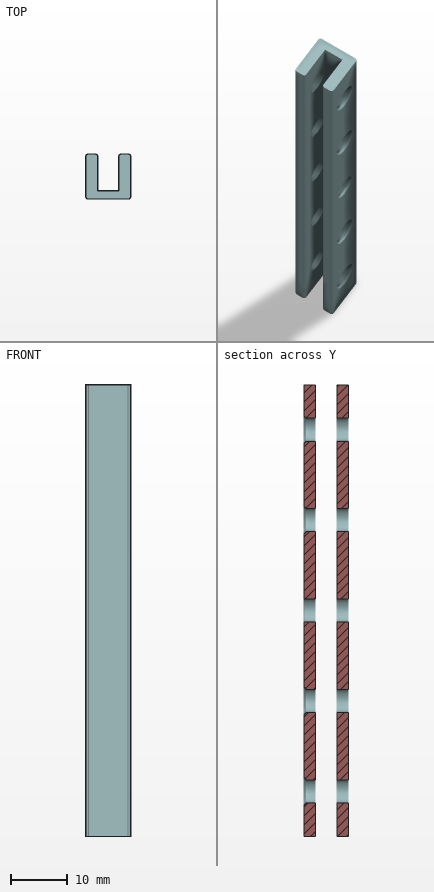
import cadquery as cq

length = 80.0
width = 8.0
slot_width = 3.7
floor_thickness = 1.5
edge_radius = 0.5

hole_count = 5
hole_pitch = length / hole_count
hole_diameter = 4.0
countersink_depth = 0.5
middle_countersink_depth = 0.2
hole_radius = hole_diameter / 2
half_width = width / 2


def make_channel():
    """Square bar with a slot; all long outer edges and slot lips are rounded."""
    bar = cq.Workplane("XY").box(width, width, length)
    slot_depth = width - floor_thickness
    slot = (
        cq.Workplane("XY")
        .box(slot_width, slot_depth, length)
        .translate((0, half_width - slot_depth / 2, 0))
    )
    channel = bar.cut(slot)
    outer_edges = channel.edges("|Z and (>Y or <Y)")
    return outer_edges.fillet(edge_radius)


def make_hole(z, sink_depth):
    """Cutter along +X, starting at the -X face, with a countersink."""
    direction = cq.Vector(1, 0, 0)
    start = cq.Vector(-half_width, 0, z)
    cutter = cq.Solid.makeCylinder(hole_radius, width, start, direction)
    mouth_radius = hole_radius + sink_depth
    cone = cq.Solid.makeCone(mouth_radius, hole_radius, sink_depth, start, direction)
    return cutter.fuse(cone)


result = make_channel()
middle = hole_count // 2
for index in range(hole_count):
    sink_depth = middle_countersink_depth if index == middle else countersink_depth
    hole_z = (index - middle) * hole_pitch
    result = result.cut(make_hole(hole_z, sink_depth))